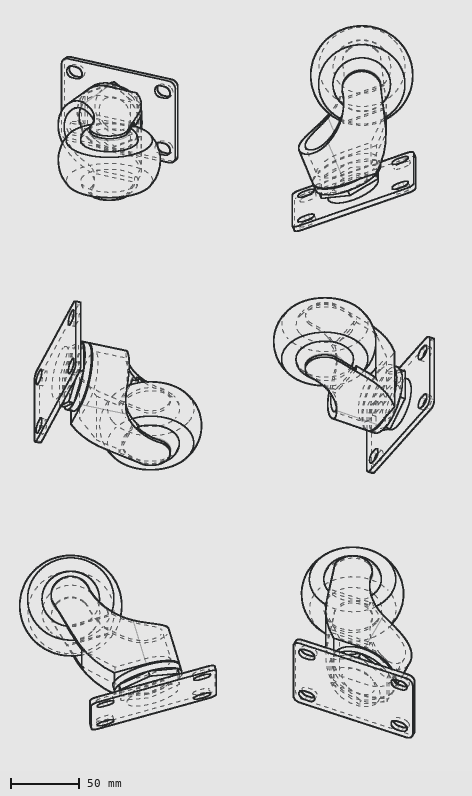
import cadquery as cq


PLATE_LENGTH = 95.0
PLATE_WIDTH = 65.0
PLATE_THICKNESS = 4.0
PLATE_CORNER_RADIUS = 5.2
SLOT_LENGTH = 12.6
SLOT_WIDTH = 9.2
SLOT_SPACING_X = 73.5
SLOT_SPACING_Z = 45.3
CONE_BASE_RADIUS = 19.7
CONE_TIP_RADIUS = 13.1
CONE_HEIGHT = 5.8

SWIVEL_RADIUS = 25.6
CONE_TO_NUT_GAP = 0.7
HEX_HEIGHT = 4.0
FLANGE_HEIGHT = 5.0
NUT_TO_FORK_GAP = 0.9

AXLE_X = 38.1
WHEEL_RADIUS = 37.4
AXLE_Y = WHEEL_RADIUS - 123.7
WHEEL_FACE_RADIUS = 31.5
WHEEL_HALF_WIDTH = 16.1
HUB_RADIUS = 21.0
HUB_HALF_WIDTH = 22.4
HUB_ROUND = HUB_HALF_WIDTH - WHEEL_HALF_WIDTH

FORK_WALL = 5.2
FORK_INNER_RADIUS = SWIVEL_RADIUS - FORK_WALL
ARM_TIP_THICKNESS = 2.1
ARM_TIP_RADIUS = 14.4
FORK_BACK_Y = -48.6
FORK_TOP_RIGHT_X = 24.3
FRONT_EDGE_MID = (35.4, -33.4)
FRONT_EDGE_ARC_END = (44.8, -56.2)
BACK_EDGE_MID = (5.5, -58.9)
CROWN_THICKNESS = 5.8
CAVITY_CORNER_X = 22.1
NOTCH_X = 15.6
NOTCH_Y = -65.0

CONE_TIP_Y = -PLATE_THICKNESS - CONE_HEIGHT
HEX_TOP_Y = CONE_TIP_Y - CONE_TO_NUT_GAP
FLANGE_TOP_Y = HEX_TOP_Y - HEX_HEIGHT
FORK_TOP_Y = FLANGE_TOP_Y - FLANGE_HEIGHT - NUT_TO_FORK_GAP

REACH = 148.5


def plane_facing_down(y):
    """XZ plane at height y; positive extrusion runs toward -Y."""
    return cq.Workplane("XZ", origin=(0, y, 0))


def extrude_across(sketch, half_width):
    """Extrude an XY outline to both sides of the middle plane."""
    return sketch.extrude(half_width, both=True)


def make_plate():
    plate = (
        plane_facing_down(0)
        .rect(PLATE_LENGTH, PLATE_WIDTH)
        .extrude(PLATE_THICKNESS)
        .edges("|Y")
        .fillet(PLATE_CORNER_RADIUS)
    )
    slots = (
        plane_facing_down(0)
        .rarray(SLOT_SPACING_X, SLOT_SPACING_Z, 2, 2)
        .slot2D(SLOT_LENGTH, SLOT_WIDTH)
        .extrude(PLATE_THICKNESS)
    )
    cone = cq.Workplane(
        cq.Solid.makeCone(
            CONE_BASE_RADIUS,
            CONE_TIP_RADIUS,
            CONE_HEIGHT,
            pnt=cq.Vector(0, -PLATE_THICKNESS, 0),
            dir=cq.Vector(0, -1, 0),
        )
    )
    return plate.cut(slots).union(cone)


def make_swivel_nut():
    hexagon = (
        plane_facing_down(HEX_TOP_Y)
        .transformed(rotate=(0, 0, 90))
        .polygon(6, 2 * SWIVEL_RADIUS)
        .extrude(HEX_HEIGHT)
    )
    flange = plane_facing_down(FLANGE_TOP_Y).circle(SWIVEL_RADIUS).extrude(FLANGE_HEIGHT)
    return hexagon.union(flange)


def rounded_channel(radius, top_y):
    """Bar along -Y whose section is round toward -X and straight toward +X."""
    return (
        plane_facing_down(top_y)
        .moveTo(REACH, radius)
        .lineTo(0, radius)
        .threePointArc((-radius, 0), (0, -radius))
        .lineTo(REACH, -radius)
        .close()
        .extrude(REACH)
    )


def fork_side_profile():
    """Side outline of the fork, sweeping from the crown to the axle."""
    outline = (
        cq.Workplane("XY")
        .moveTo(-SWIVEL_RADIUS, FORK_TOP_Y)
        .lineTo(FORK_TOP_RIGHT_X, FORK_TOP_Y)
        .threePointArc(FRONT_EDGE_MID, FRONT_EDGE_ARC_END)
        .lineTo(AXLE_X + ARM_TIP_RADIUS, AXLE_Y)
        .threePointArc((AXLE_X, AXLE_Y - ARM_TIP_RADIUS), (AXLE_X - ARM_TIP_RADIUS, AXLE_Y))
        .threePointArc(BACK_EDGE_MID, (-SWIVEL_RADIUS, FORK_BACK_Y))
        .close()
    )
    return extrude_across(outline, SWIVEL_RADIUS)


def fork_cavity():
    """Space between the arms, below the crown and behind the sloping front wall."""
    cavity_top_y = FORK_TOP_Y - CROWN_THICKNESS
    front_wall_run = REACH - CAVITY_CORNER_X
    side = (
        cq.Workplane("XY")
        .moveTo(-REACH, cavity_top_y)
        .lineTo(CAVITY_CORNER_X, cavity_top_y)
        .lineTo(REACH, cavity_top_y - front_wall_run)
        .lineTo(-REACH, cavity_top_y - front_wall_run)
        .close()
    )
    channel = rounded_channel(FORK_INNER_RADIUS, cavity_top_y)
    return extrude_across(side, SWIVEL_RADIUS).intersect(channel)


def arm_notch():
    """Recess that thins both arms around the wheel hub."""
    corner = cq.Workplane("XY").moveTo(NOTCH_X, NOTCH_Y).lineTo(REACH, NOTCH_Y)
    side = corner.lineTo(REACH, -REACH).lineTo(NOTCH_X, -REACH).close()
    return extrude_across(side, SWIVEL_RADIUS - ARM_TIP_THICKNESS)


def make_fork():
    body = fork_side_profile().intersect(rounded_channel(SWIVEL_RADIUS, FORK_TOP_Y))
    return body.cut(fork_cavity()).cut(arm_notch())


def make_wheel():
    tread = (
        cq.Workplane("XZ")
        .moveTo(0, -WHEEL_HALF_WIDTH)
        .lineTo(WHEEL_FACE_RADIUS, -WHEEL_HALF_WIDTH)
        .threePointArc((WHEEL_RADIUS, 0), (WHEEL_FACE_RADIUS, WHEEL_HALF_WIDTH))
        .lineTo(0, WHEEL_HALF_WIDTH)
        .close()
        .revolve(360, (0, 0), (0, 1))
    )
    hub = extrude_across(cq.Workplane("XY").circle(HUB_RADIUS), HUB_HALF_WIDTH)
    hub = hub.faces("|Z").edges().fillet(HUB_ROUND)
    return tread.union(hub).translate((AXLE_X, AXLE_Y, 0))


plate = make_plate()
swivel_nut = make_swivel_nut()
fork = make_fork()
wheel = make_wheel()

result = cq.Compound.makeCompound([plate.val(), swivel_nut.val(), fork.val(), wheel.val()])